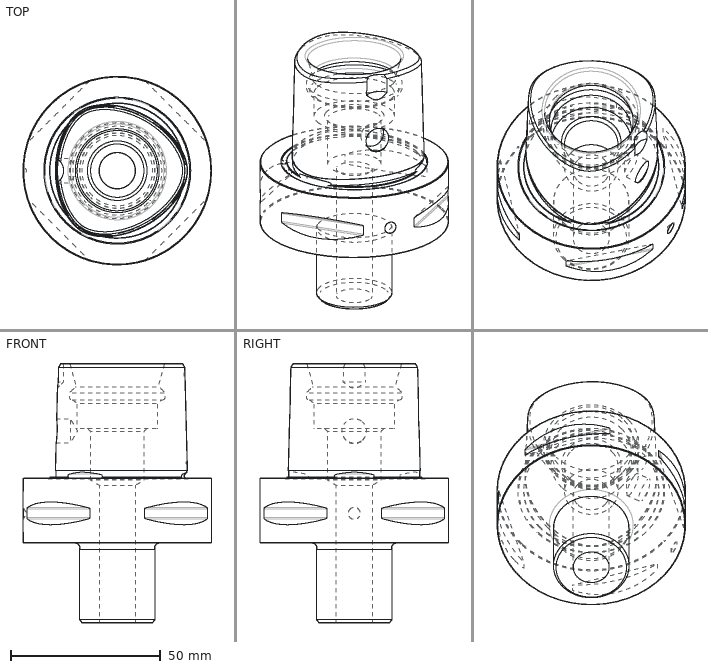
import cadquery as cq
import math

TOTAL_HEIGHT = 86.5
FLANGE_BOTTOM_Z = 26.55
FLANGE_TOP_Z = 48.35
TAPER_BOTTOM_Z = 50.8
TAPER_TOP_Z = 85.2

FLANGE_RADIUS = 63.0 / 2
FLANGE_EDGE_CHAMFER = 0.3

SHANK_RADIUS = 12.6
SHANK_CHAMFER_HEIGHT = 1.0
SHANK_CHAMFER_WIDTH = 0.9
FILLET_BOTTOM_Z = 24.5
FILLET_OUTER_RADIUS = 28.0 / 2
FILLET_MIDDLE = (12.6, 25.6)

TAPER_BASE_RADIUS = 22.1
TAPER_RATIO = 1 / 40
LOBE_HEIGHT = 1.4
OUTLINE_POINTS = 60
TIP_CHAMFER_WIDTH = 0.8
NECK_INSET = 0.2

FOOT_RADIUS = 22.6
FOOT_RISE = 0.3
RELIEF_CENTER_RADIUS = 23.4
RELIEF_CENTER_Z = 49.0
RELIEF_ROUND = 1.0

RIM_RADIUS = 16.4
RIM_ROUND = 0.9
LIP_RADIUS = 28.0 / 2
LIP_TOP_Z = 80.0
LIP_BOTTOM_Z = 78.7
GROOVE_RADIUS = 32.0 / 2
GROOVE_TOP_Z = 76.7
GROOVE_BOTTOM_Z = 75.4
GROOVE_ROUND = 1.1
SOCKET_RADIUS = 13.4
SOCKET_TOP_Z = 73.2
SOCKET_FLOOR_Z = 64.9
THREAD_MOUTH_RADIUS = 9.95
THREAD_RADIUS = 17.8 / 2
THREAD_DEPTH = 17.3
THROUGH_RADIUS = 12.0 / 2

NOTCH_RADIUS = 4.7
NOTCH_INNER_X = -17.9
NOTCH_DEPTH = 6.1

DRILL_POINT_ANGLE = 118
POLYGON_HOLE_DIAMETER = 8.1
POLYGON_HOLE_Z = 64.0
POLYGON_HOLE_DEPTH = 4.7
POLYGON_HOLE_RIM = 0.2
FLANGE_DIMPLE_DIAMETER = 4.0
FLANGE_DIMPLE_DEPTH = 0.1

SLOT_ANGLES = (45, 135, 225, 315)
SLOT_Z = 36.5
SLOT_FLOOR_DISTANCE = 27.8
SLOT_FLOOR_WIDTH = 3.5
SLOT_MOUTH_WIDTH = 7.6
SLOT_CORNER_RADIUS = 0.5


def revolve_about_z(profile):
    """Turn a closed (radius, z) profile about the Z axis."""
    return profile.close().revolve(360, (0, 0, 0), (0, 1, 0))


def lobed_point(radius, angle):
    """Point of the constant-width outline whose support distance is radius + lobe * cos(3 * angle)."""
    support = radius + LOBE_HEIGHT * math.cos(3 * angle)
    slide = -3 * LOBE_HEIGHT * math.sin(3 * angle)
    x = support * math.cos(angle) - slide * math.sin(angle)
    y = support * math.sin(angle) + slide * math.cos(angle)
    return (x, y)


def lobed_outline(radius):
    """Points of the three-lobed outline, with one lobe towards +X."""
    angles = [2 * math.pi * i / OUTLINE_POINTS for i in range(OUTLINE_POINTS)]
    return [lobed_point(radius, angle) for angle in angles]


def lobed_frustum(bottom_radius, bottom_z, top_radius, top_z):
    """Solid between two three-lobed outlines at different heights."""
    return (
        cq.Workplane("XY", origin=(0, 0, bottom_z))
        .spline(lobed_outline(bottom_radius), periodic=True)
        .close()
        .workplane(offset=top_z - bottom_z)
        .spline(lobed_outline(top_radius), periodic=True)
        .close()
        .loft(ruled=True)
    )


def make_body():
    """Shank, flange and the low round foot that carries the polygon."""
    edge = FLANGE_EDGE_CHAMFER
    foot_top_z = FLANGE_TOP_Z + FOOT_RISE
    profile = (
        cq.Workplane("XZ")
        .moveTo(0, 0)
        .lineTo(SHANK_RADIUS - SHANK_CHAMFER_WIDTH, 0)
        .lineTo(SHANK_RADIUS, SHANK_CHAMFER_HEIGHT)
        .lineTo(SHANK_RADIUS, FILLET_BOTTOM_Z)
        .threePointArc(FILLET_MIDDLE, (FILLET_OUTER_RADIUS, FLANGE_BOTTOM_Z))
        .lineTo(FLANGE_RADIUS - edge, FLANGE_BOTTOM_Z)
        .lineTo(FLANGE_RADIUS, FLANGE_BOTTOM_Z + edge)
        .lineTo(FLANGE_RADIUS, FLANGE_TOP_Z - edge)
        .lineTo(FLANGE_RADIUS - edge, FLANGE_TOP_Z)
        .lineTo(FOOT_RADIUS, FLANGE_TOP_Z)
        .lineTo(FOOT_RADIUS, foot_top_z)
        .lineTo(0, foot_top_z)
    )
    return revolve_about_z(profile)


def make_relief():
    """Ring that undercuts the lobes at 45 degrees and sinks a rounded groove into the flange."""
    diagonal = RELIEF_ROUND * math.sin(math.radians(45))
    inner_radius = RELIEF_CENTER_RADIUS - diagonal
    undercut_z = RELIEF_CENTER_Z + diagonal
    outer_radius = RELIEF_CENTER_RADIUS + diagonal
    cone_width = TAPER_BOTTOM_Z - undercut_z
    profile = (
        cq.Workplane("XZ")
        .moveTo(inner_radius, undercut_z)
        .threePointArc(
            (inner_radius, RELIEF_CENTER_Z - diagonal),
            (outer_radius, RELIEF_CENTER_Z - diagonal),
        )
        .lineTo(FLANGE_RADIUS, TAPER_BOTTOM_Z)
        .lineTo(inner_radius + cone_width, TAPER_BOTTOM_Z)
    )
    return revolve_about_z(profile)


def make_polygon():
    top_radius = TAPER_BASE_RADIUS - TAPER_RATIO * (TAPER_TOP_Z - TAPER_BOTTOM_Z)
    neck_radius = TAPER_BASE_RADIUS - NECK_INSET
    neck = lobed_frustum(neck_radius, FLANGE_TOP_Z, neck_radius, TAPER_BOTTOM_Z)
    taper = lobed_frustum(TAPER_BASE_RADIUS, TAPER_BOTTOM_Z, top_radius, TAPER_TOP_Z)
    tip = lobed_frustum(top_radius, TAPER_TOP_Z, top_radius - TIP_CHAMFER_WIDTH, TOTAL_HEIGHT)
    return neck.union(taper).union(tip)


def drill_point_length(radius):
    return radius / math.tan(math.radians(DRILL_POINT_ANGLE / 2))


def make_bore():
    rim_round_middle = RIM_RADIUS - RIM_ROUND * math.sin(math.radians(45))
    rim_round_middle_z = TOTAL_HEIGHT - RIM_ROUND * (1 - math.cos(math.radians(45)))
    seat_radius = GROOVE_RADIUS - GROOVE_ROUND
    seat_z = GROOVE_BOTTOM_Z - GROOVE_ROUND
    groove_round_middle = seat_radius + GROOVE_ROUND * math.cos(math.radians(45))
    groove_round_middle_z = GROOVE_BOTTOM_Z - GROOVE_ROUND * math.sin(math.radians(45))
    thread_top_z = SOCKET_FLOOR_Z - (THREAD_MOUTH_RADIUS - THREAD_RADIUS)
    thread_bottom_z = SOCKET_FLOOR_Z - THREAD_DEPTH
    through_top_z = thread_bottom_z - drill_point_length(THREAD_RADIUS - THROUGH_RADIUS)
    profile = (
        cq.Workplane("XZ")
        .moveTo(0, TOTAL_HEIGHT)
        .lineTo(RIM_RADIUS, TOTAL_HEIGHT)
        .threePointArc(
            (rim_round_middle, rim_round_middle_z),
            (RIM_RADIUS - RIM_ROUND, TOTAL_HEIGHT - RIM_ROUND),
        )
        .lineTo(LIP_RADIUS, LIP_TOP_Z)
        .lineTo(LIP_RADIUS, LIP_BOTTOM_Z)
        .lineTo(GROOVE_RADIUS, GROOVE_TOP_Z)
        .lineTo(GROOVE_RADIUS, GROOVE_BOTTOM_Z)
        .threePointArc((groove_round_middle, groove_round_middle_z), (seat_radius, seat_z))
        .lineTo(SOCKET_RADIUS, SOCKET_TOP_Z)
        .lineTo(SOCKET_RADIUS, SOCKET_FLOOR_Z)
        .lineTo(THREAD_MOUTH_RADIUS, SOCKET_FLOOR_Z)
        .lineTo(THREAD_RADIUS, thread_top_z)
        .lineTo(THREAD_RADIUS, thread_bottom_z)
        .lineTo(THROUGH_RADIUS, through_top_z)
        .lineTo(THROUGH_RADIUS, 0)
        .lineTo(0, 0)
    )
    return revolve_about_z(profile)


def make_notch():
    cone_base_z = TOTAL_HEIGHT - NOTCH_DEPTH
    profile = (
        cq.Workplane("XZ")
        .moveTo(0, TOTAL_HEIGHT)
        .lineTo(NOTCH_RADIUS, TOTAL_HEIGHT)
        .lineTo(NOTCH_RADIUS, cone_base_z)
        .lineTo(0, cone_base_z - NOTCH_RADIUS)
    )
    return revolve_about_z(profile).translate((NOTCH_INNER_X - NOTCH_RADIUS, 0, 0))


def make_side_hole(diameter, surface_x, z, depth):
    """Hole drilled in from -X with a pointed end."""
    radius = diameter / 2
    start_x = -2 * FLANGE_RADIUS
    end_x = surface_x + depth
    profile = (
        cq.Workplane("XZ")
        .moveTo(start_x, 0)
        .lineTo(start_x, radius)
        .lineTo(end_x, radius)
        .lineTo(end_x + drill_point_length(radius), 0)
        .close()
    )
    return profile.revolve(360, (0, 0, 0), (1, 0, 0)).translate((0, 0, z))


def make_slot(angle):
    """Flat-bottomed groove with sloping sides, square to the given direction."""
    outline = [
        (SLOT_FLOOR_DISTANCE, SLOT_FLOOR_WIDTH / 2),
        (FLANGE_RADIUS, SLOT_MOUTH_WIDTH / 2),
        (FLANGE_RADIUS, -SLOT_MOUTH_WIDTH / 2),
        (SLOT_FLOOR_DISTANCE, -SLOT_FLOOR_WIDTH / 2),
    ]
    slot = cq.Workplane("XZ", origin=(0, 0, SLOT_Z)).polyline(outline).close().extrude(FLANGE_RADIUS, both=True)
    slot = slot.faces("<X").edges("|Y").fillet(SLOT_CORNER_RADIUS)
    return slot.rotate((0, 0, 0), (0, 0, 1), angle)


result = make_body().union(make_polygon())
result = result.cut(make_relief()).cut(make_bore()).cut(make_notch())

hole_taper = TAPER_RATIO * (POLYGON_HOLE_Z - TAPER_BOTTOM_Z)
polygon_side_x = -(TAPER_BASE_RADIUS - LOBE_HEIGHT - hole_taper)
polygon_hole = make_side_hole(
    POLYGON_HOLE_DIAMETER, polygon_side_x, POLYGON_HOLE_Z, POLYGON_HOLE_DEPTH
)
polygon_hole_rim = make_side_hole(
    POLYGON_HOLE_DIAMETER + 2 * POLYGON_HOLE_RIM, polygon_side_x, POLYGON_HOLE_Z, 0
)
flange_dimple = make_side_hole(FLANGE_DIMPLE_DIAMETER, -FLANGE_RADIUS, SLOT_Z, FLANGE_DIMPLE_DEPTH)
result = result.cut(polygon_hole).cut(polygon_hole_rim).cut(flange_dimple)

for slot_angle in SLOT_ANGLES:
    result = result.cut(make_slot(slot_angle))